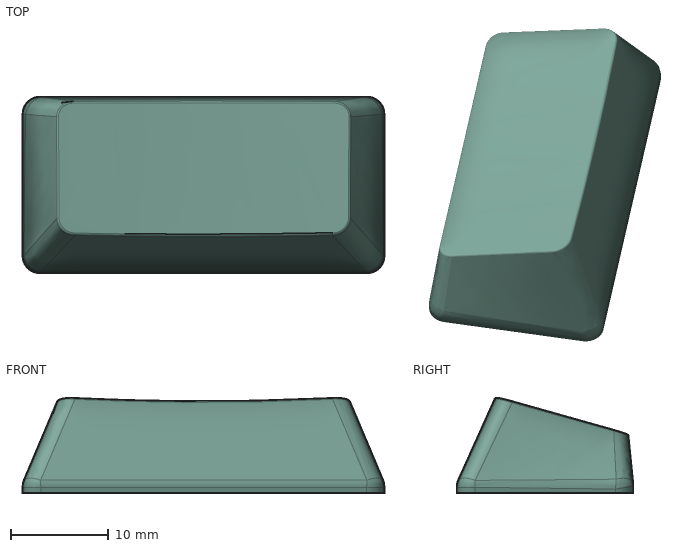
import cadquery as cq
import math

length = 37.2
width = 18.15

skirt_height = 1.0

wall_radius = 1.85

side_inset = 3.6
front_inset = 4.05
rear_inset = 0.52
front_rim_height = 10.0
rear_rim_height = 6.18

dish_depth = 0.45
dish_edge_drop = 0.07
rim_radius = 0.22

rim_front_y = -width / 2 + front_inset
rim_rear_y = width / 2 - rear_inset
rim_rise = front_rim_height - rear_rim_height
rim_run = rim_rear_y - rim_front_y
tilt = math.degrees(math.atan2(rim_rise, rim_run))
top_length = length - 2 * side_inset
top_width = math.hypot(rim_rise, rim_run)
rim_center = cq.Vector(
    0,
    (rim_front_y + rim_rear_y) / 2,
    (front_rim_height + rear_rim_height) / 2,
)
rim_location = cq.Location(rim_center, cq.Vector(1, 0, 0), -tilt)


def make_skirt():
    return cq.Workplane("XY").rect(length, width).extrude(skirt_height)


def make_sloped_walls():
    """Ruled walls from the level skirt outline up to the tilted rim."""
    base = cq.Sketch().rect(length, width).moved(cq.Location(cq.Vector(0, 0, skirt_height)))
    top = cq.Sketch().rect(top_length, top_width).moved(rim_location)
    return cq.Workplane("XY").placeSketch(base, top).loft(ruled=True)


def make_dish_cutter():
    """Cylinder that passes just below the rim at both sides and is lowest in the middle."""
    half_chord = top_length / 2
    radius = (half_chord**2 + dish_depth**2) / (2 * dish_depth)
    axis_height = radius - dish_depth - dish_edge_drop
    cylinder = cq.Workplane("XZ").center(0, axis_height).circle(radius).extrude(width, both=True)
    return cq.Workplane(cylinder.val().moved(rim_location))


def round_walls(body):
    """Round every edge except those around the flat bottom and the tilted top."""
    top_face = body.faces(cq.selectors.NearestToPointSelector(rim_center.toTuple()))
    kept_sharp = body.faces("<Z").edges().add(top_face.edges()).vals()
    wall_edges = [edge for edge in body.edges().vals() if edge not in kept_sharp]
    return body.newObject(wall_edges).fillet(wall_radius)


body = round_walls(make_skirt().union(make_sloped_walls()))
dished = body.cut(make_dish_cutter())
result = dished.faces("%CYLINDER").faces(">Z").edges().fillet(rim_radius)